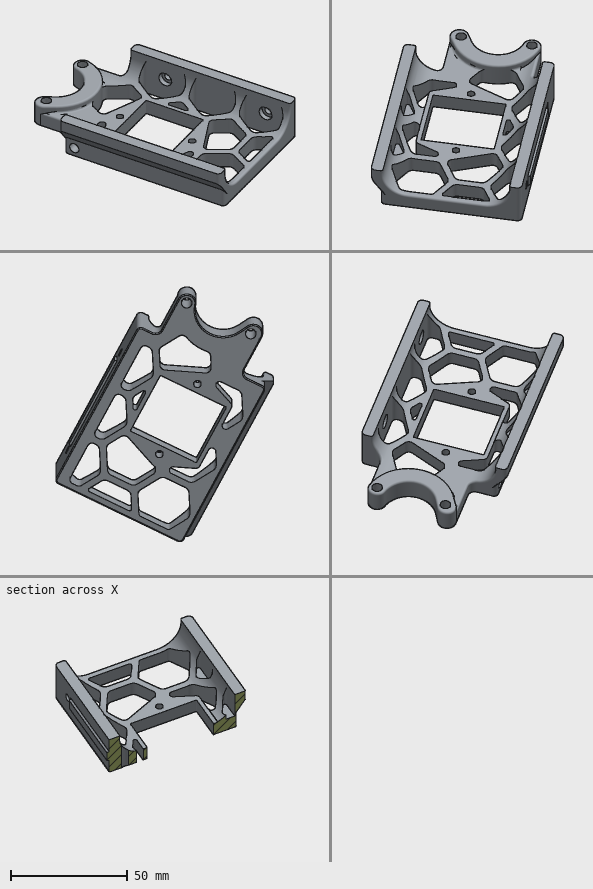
import cadquery as cq
import math

TRAY_LENGTH = 80.0
HALF_WIDTH = 33.0
HEIGHT = 20.0
FLOOR_Z = 7.0
OUTER_CORNER_R = 2.0
BOTTOM_CHAMFER = 0.5

CHANNEL_HALF_WIDTH = 27.75
CHANNEL_R = 11.0
CHANNEL_EDGE_R = 1.0

SETBACK_Y = -28.67
OVERHANG_LOW_Z = 8.85
OVERHANG_HIGH_Z = 14.7

WINDOW_CENTER = (30.0, -1.5)
WINDOW_SIZE = (28.5, 32.0)
WINDOW_CORNER_R = 0.5
FRAME_RAIL = 2.0
FRAME_TIP = 23.8
FRAME_CORNER_R = 2.0
SCREW_OFFSET = 18.0
SCREW_D = 3.2

CELL_PITCH = 25.0
CELL_RIB = 3.0
CELL_FLATS = CELL_PITCH - CELL_RIB
CELL_RADIUS = CELL_FLATS / math.sqrt(3)
CELL_CORNER_R = 3.0
SMALL_CELL_CORNER_R = 0.9
BACK_CELL_CORNER_R = 2.0
FRONT_CELL_CORNER_R = 1.6
MIDDLE_CELL_CORNER_R = 2.5
END_BORDER = 3.0
ROW_PITCH = CELL_PITCH * math.sqrt(3) / 2
ROW_FRONT_Y = -13.65
ROW_MIDDLE_Y = ROW_FRONT_Y + ROW_PITCH
ROW_BACK_Y = ROW_MIDDLE_Y + ROW_PITCH
ROW_POCKET_Y = ROW_FRONT_Y - ROW_PITCH
COLUMNS = [WINDOW_CENTER[0] + (i - 0.5) * CELL_PITCH for i in range(3)]
SHIFTED_COLUMNS = [WINDOW_CENTER[0] + (i - 1) * CELL_PITCH for i in range(4)]

EAR_CENTER = (-23.0, 4.0)
EAR_INNER_R = 12.0
EAR_OUTER_R = 20.0
EAR_MID_R = (EAR_INNER_R + EAR_OUTER_R) / 2
EAR_HEIGHT = 10.5
EAR_TOP_R = 1.0
EAR_BASE_R = 1.0
EAR_HOLE_D = 4.5
EAR_HOLE_X = -18.9
EAR_HOLE_OFFSET = 15.5
BACK_CAP_R = (EAR_OUTER_R - EAR_INNER_R) / 2
BACK_CAP_ANGLE = math.acos((EAR_HOLE_X - EAR_CENTER[0]) / EAR_MID_R)
BACK_CAP_CENTER = (EAR_HOLE_X, EAR_CENTER[1] + EAR_MID_R * math.sin(BACK_CAP_ANGLE))
FRONT_CAP_CENTER = (-19.55, -12.4)
FRONT_CAP_R = 4.1
NECK_BACK_Y = BACK_CAP_CENTER[1] + BACK_CAP_R
NECK_FRONT_Y = FRONT_CAP_CENTER[1] - FRONT_CAP_R
NECK_CORNER_R = 3.0

PAD_LENGTH = 44.0
PAD_CENTER_X = COLUMNS[1]
PAD_LOW_Z = 7.2
PAD_HIGH_Z = 13.0
PAD_THICKNESS = 1.0
PAD_SIDE_INSET = 0.6
WALL_HOLE_Z = 10.5
WALL_HOLE_D = 3.4
WALL_BORE_D = 6.3
WALL_BORE_DEPTH = 2.5
SIDE_HOLE_X = 5.0
SIDE_HOLE_Z = 4.5
SIDE_HOLE_D = 4.6
SIDE_HOLE_DEPTH = 6.0

OVERLAP = 1.0
TOLERANCE = 0.01


def block(x_range, y_range, z_range):
    """Axis-aligned box between the given limits."""
    size = [high - low for low, high in (x_range, y_range, z_range)]
    corner = (x_range[0], y_range[0], z_range[0])
    return cq.Workplane("XY").box(*size, centered=False).translate(corner)


def cylinder(center, radius, height):
    return cq.Workplane("XY").center(*center).circle(radius).extrude(height)


def tray_block(front_y):
    """Tray outline with rounded outer corners at its -Y and +Y edges."""
    outline = block((0, TRAY_LENGTH), (front_y, HALF_WIDTH), (0, HEIGHT))
    return outline.edges("|Z").fillet(OUTER_CORNER_R)


def lower_block():
    """Set-back tray outline plus the neck, with the chamfered underside."""
    neck = block((EAR_HOLE_X, OUTER_CORNER_R), (NECK_FRONT_Y, NECK_BACK_Y), (0, HEIGHT))
    joined = tray_block(SETBACK_Y).union(neck)
    for neck_y in (NECK_FRONT_Y, NECK_BACK_Y):
        corner = cq.selectors.NearestToPointSelector((0, neck_y, HEIGHT / 2))
        joined = joined.edges("|Z").edges(corner).fillet(NECK_CORNER_R)
    return joined.faces("<Z").edges().chamfer(BOTTOM_CHAMFER)


def overhanging_rail():
    """Upper part of the -Y wall, carried out on a sloping underside."""
    slope = (OVERHANG_HIGH_Z - OVERHANG_LOW_Z) / (SETBACK_Y + HALF_WIDTH)
    root_y = SETBACK_Y + 2 * OUTER_CORNER_R
    section = (
        cq.Workplane("YZ")
        .moveTo(-HALF_WIDTH, HEIGHT)
        .lineTo(-HALF_WIDTH, OVERHANG_HIGH_Z)
        .lineTo(root_y, OVERHANG_HIGH_Z - slope * (root_y + HALF_WIDTH))
        .lineTo(root_y, HEIGHT)
        .close()
        .extrude(TRAY_LENGTH)
    )
    return tray_block(-HALF_WIDTH).intersect(section)


def channel():
    """Long trough with rounded lower corners, open at the top and both ends."""
    start = EAR_HOLE_X - OVERLAP
    length = TRAY_LENGTH + OVERLAP - start
    width = 2 * CHANNEL_HALF_WIDTH
    depth = HEIGHT + CHANNEL_R - FLOOR_Z
    return (
        cq.Workplane("YZ", origin=(start, 0, FLOOR_Z + depth / 2))
        .rect(width, depth)
        .extrude(length)
        .edges("|X and <Z")
        .fillet(CHANNEL_R)
    )


def is_channel_rim(edge):
    """True for the edges where the channel surface runs out at a side of the body."""
    middle = edge.Center()
    box = edge.BoundingBox()
    on_channel = box.zmin > FLOOR_Z - TOLERANCE and abs(middle.y) < CHANNEL_HALF_WIDTH + TOLERANCE
    on_top = box.zmin > HEIGHT - TOLERANCE
    on_hidden_neck_end = abs(middle.x - EAR_HOLE_X) < TOLERANCE
    along_x = max(box.ymax - box.ymin, box.zmax - box.zmin) < TOLERANCE
    along_tray = along_x and middle.x > 0
    return on_channel and not (on_top or on_hidden_neck_end or along_tray)


def tray():
    body = lower_block().union(overhanging_rail()).cut(channel())
    rim = body.edges().filter(is_channel_rim)
    return rim.fillet(CHANNEL_EDGE_R)


def polar(center, radius, angle):
    return (center[0] + radius * math.cos(angle), center[1] + radius * math.sin(angle))


def ear_outline():
    """Arc band: its +Y end is a half circle, its -Y end a larger cap joined by tangent lines."""
    cap_dx = FRONT_CAP_CENTER[0] - EAR_CENTER[0]
    cap_dy = FRONT_CAP_CENTER[1] - EAR_CENTER[1]
    cap_distance = math.hypot(cap_dx, cap_dy)
    cap_angle = math.atan2(cap_dy, cap_dx)
    outer_angle = cap_angle + math.acos((EAR_OUTER_R - FRONT_CAP_R) / cap_distance)
    inner_angle = cap_angle + math.acos((EAR_INNER_R + FRONT_CAP_R) / cap_distance)
    quarter = math.pi / 2
    return (
        cq.Workplane("XY")
        .moveTo(*polar(EAR_CENTER, EAR_OUTER_R, BACK_CAP_ANGLE))
        .threePointArc(polar(EAR_CENTER, EAR_OUTER_R, 0), polar(EAR_CENTER, EAR_OUTER_R, outer_angle))
        .lineTo(*polar(FRONT_CAP_CENTER, FRONT_CAP_R, outer_angle))
        .threePointArc(
            polar(FRONT_CAP_CENTER, FRONT_CAP_R, cap_angle - quarter),
            polar(FRONT_CAP_CENTER, -FRONT_CAP_R, inner_angle),
        )
        .lineTo(*polar(EAR_CENTER, EAR_INNER_R, inner_angle))
        .threePointArc(polar(EAR_CENTER, EAR_INNER_R, 0), polar(EAR_CENTER, EAR_INNER_R, BACK_CAP_ANGLE))
        .threePointArc(
            polar(BACK_CAP_CENTER, BACK_CAP_R, BACK_CAP_ANGLE + quarter),
            polar(EAR_CENTER, EAR_OUTER_R, BACK_CAP_ANGLE),
        )
        .close()
    )


def ear():
    solid = ear_outline().extrude(EAR_HEIGHT)
    return solid.faces(">Z").edges().fillet(EAR_TOP_R).faces("<Z").edges().chamfer(BOTTOM_CHAMFER)


def ear_base_fillet():
    """Concave fillet between the ear and the flat floor of the neck."""
    root_r = EAR_OUTER_R - EAR_BASE_R
    toe_r = EAR_OUTER_R + EAR_BASE_R
    root_z = FLOOR_Z - EAR_BASE_R
    arc_offset = EAR_BASE_R * (1 - math.sqrt(0.5))
    ring = (
        cq.Workplane("XZ")
        .moveTo(root_r, root_z)
        .lineTo(toe_r, root_z)
        .lineTo(toe_r, FLOOR_Z)
        .threePointArc(
            (EAR_OUTER_R + arc_offset, FLOOR_Z + arc_offset),
            (EAR_OUTER_R, FLOOR_Z + EAR_BASE_R),
        )
        .lineTo(root_r, FLOOR_Z + EAR_BASE_R)
        .close()
        .revolve(360, (0, 0, 0), (0, 1, 0))
        .translate((*EAR_CENTER, 0))
    )
    flat_floor = block(
        (EAR_HOLE_X, TRAY_LENGTH),
        (NECK_FRONT_Y + CHANNEL_EDGE_R, CHANNEL_HALF_WIDTH - CHANNEL_R),
        (0, HEIGHT),
    )
    return ring.intersect(flat_floor)


def frame_keepout():
    """Window frame region that the lattice cells must not enter."""
    half_x = WINDOW_SIZE[0] / 2 + FRAME_RAIL
    half_y = WINDOW_SIZE[1] / 2 + FRAME_RAIL
    points = [
        (FRAME_TIP, 0),
        (half_x, half_y),
        (-half_x, half_y),
        (-FRAME_TIP, 0),
        (-half_x, -half_y),
        (half_x, -half_y),
    ]
    frame = cq.Workplane("XY").center(*WINDOW_CENTER).polyline(points).close().extrude(HEIGHT)
    return frame.edges("|Z and (>Y or <Y)").fillet(FRAME_CORNER_R)


def round_corners(prism, radius):
    """Round every outward corner of an upright prism, by shrinking and regrowing its outline."""
    outline = prism.faces("<Z").wires().toPending().offset2D(-radius)
    return cq.Workplane("XY").add(outline.vals()).toPending().offset2D(radius).extrude(HEIGHT)


def cell(center, cut_corner_r):
    """Hexagonal cell trimmed by the frame, side walls, end border and ear."""
    hexagon = cq.Workplane("XY").polygon(6, 2 * CELL_RADIUS).extrude(HEIGHT)
    hexagon = hexagon.edges("|Z").fillet(CELL_CORNER_R)
    hexagon = hexagon.rotate((0, 0, 0), (0, 0, 1), 30).translate((*center, 0))
    limits = block(
        (-TRAY_LENGTH, TRAY_LENGTH - END_BORDER),
        (-CHANNEL_HALF_WIDTH, CHANNEL_HALF_WIDTH),
        (0, HEIGHT),
    )
    trimmed = hexagon.intersect(limits).cut(frame_keepout()).cut(cylinder(EAR_CENTER, EAR_OUTER_R, HEIGHT))
    return round_corners(trimmed, cut_corner_r)


def lattice():
    """Four rows of cells; those of the -Y wall are pockets that stop at floor level."""
    cells = [cell((x, ROW_BACK_Y), BACK_CELL_CORNER_R) for x in COLUMNS]
    for x in SHIFTED_COLUMNS:
        beside_frame = abs(x - WINDOW_CENTER[0]) == CELL_PITCH
        corner_r = MIDDLE_CELL_CORNER_R if beside_frame else SMALL_CELL_CORNER_R
        cells.append(cell((x, ROW_MIDDLE_Y), corner_r))
    for x in COLUMNS:
        cells.append(cell((x, ROW_FRONT_Y), FRONT_CELL_CORNER_R))
    for x in SHIFTED_COLUMNS[1:3]:
        pocket = cell((x, ROW_POCKET_Y), SMALL_CELL_CORNER_R)
        cells.append(pocket.translate((0, 0, FLOOR_Z)))
    return cells


def window():
    opening = cq.Workplane("XY").center(*WINDOW_CENTER).rect(*WINDOW_SIZE).extrude(HEIGHT)
    return opening.edges("|Z").fillet(WINDOW_CORNER_R)


def vertical_holes():
    holes = []
    for side in (-1, 1):
        frame_hole = (WINDOW_CENTER[0] + side * SCREW_OFFSET, WINDOW_CENTER[1])
        ear_hole = (EAR_HOLE_X, EAR_CENTER[1] + side * EAR_HOLE_OFFSET)
        holes.append(cylinder(frame_hole, SCREW_D / 2, HEIGHT))
        holes.append(cylinder(ear_hole, EAR_HOLE_D / 2, HEIGHT))
    return holes


def hole_along_y(x, z, diameter, start_y, length):
    start = cq.Vector(x, start_y, z)
    return cq.Workplane(cq.Solid.makeCylinder(diameter / 2, length, start, cq.Vector(0, 1, 0)))


def wall_holes():
    """Counterbored holes through the +Y wall and a blind hole in the -Y wall."""
    holes = [hole_along_y(SIDE_HOLE_X, SIDE_HOLE_Z, SIDE_HOLE_D, SETBACK_Y, SIDE_HOLE_DEPTH)]
    for x in (COLUMNS[0], COLUMNS[2]):
        holes.append(hole_along_y(x, WALL_HOLE_Z, WALL_HOLE_D, CHANNEL_HALF_WIDTH, CHANNEL_R))
        holes.append(hole_along_y(x, WALL_HOLE_Z, WALL_BORE_D, CHANNEL_HALF_WIDTH, WALL_BORE_DEPTH))
    return holes


def side_pad():
    """Raised pad on the +Y wall with sloping sides."""
    taper = math.degrees(math.atan(PAD_SIDE_INSET / PAD_THICKNESS))
    middle = (PAD_CENTER_X, HALF_WIDTH, (PAD_LOW_Z + PAD_HIGH_Z) / 2)
    outline = cq.Workplane("XZ", origin=middle).rect(PAD_LENGTH, PAD_HIGH_Z - PAD_LOW_Z)
    return outline.extrude(-PAD_THICKNESS, taper=taper)


def frame_relief():
    """Levels the frame to the floor where it reaches into the rounded channel side."""
    return frame_keepout().translate((0, 0, FLOOR_Z))


body = tray().cut(cylinder(EAR_CENTER, EAR_MID_R, HEIGHT)).union(ear())
body = body.union(ear_base_fillet()).union(side_pad())
for tool in lattice() + [frame_relief(), window()] + vertical_holes() + wall_holes():
    body = body.cut(tool)
result = body